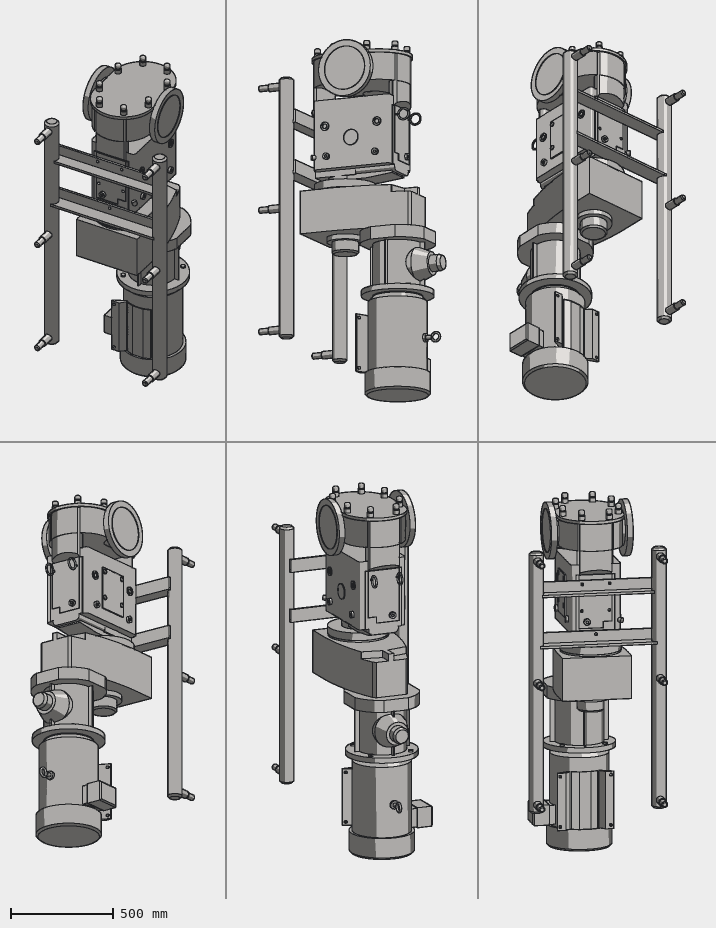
import cadquery as cq
import math


TOP_Z = 878.0
BOTTOM_Z = -878.0
DEPTH = 848.0

PUMP_Y = -12.0
SHAFT_OFFSET = 91.0
SHAFT_Y = PUMP_Y - SHAFT_OFFSET
MOTOR_Y = 180.0

RAIL_DIAMETER = 72.0
RAIL_X = 305.0
RAIL_Y = -278.0
RAIL_BOTTOM_Z = -610.0
RAIL_LENGTH = 1300.0
RAIL_CHAMFER = 10.0
STUD_MIDDLE_Z = 42.0
STUD_PITCH = 608.0
STUD_DIAMETER = 39.0
STUD_STEP_Y = -369.0
STUD_TIP_DIAMETER = 30.0
STUD_TIP_Y = -DEPTH / 2
STUD_TIP_CHAMFER = 5.0
BAR_BACK_Y = -228.0
BAR_THICKNESS = 12.0
BAR_HEIGHT = 65.0
UPPER_BAR_Z = 465.0
UPPER_BAR_DEPTH = 74.0
LOWER_BAR_Z = 213.0
LOWER_BAR_DEPTH = 83.0
BOLT_HOLE_DIAMETER = 13.5

MOUNT_X = 69.0
MOUNT_UPPER_Z = 511.0
MOUNT_LOWER_Z = 376.0
MOUNT_HOLE_DEPTH = 18.0
BASE_BOLT_Z = 260.0

COVER_TOP_Z = 829.0
COVER_THICKNESS = 15.0
HEAD_BOTTOM_Z = 678.0
COVER_RADIUS = 163.0
HEAD_RADIUS = 156.0
GROOVE_INNER_X = 79.0
GROOVE_FLOOR_Y = 204.0
COVER_BOLTS = [(69.0, 209.0), (139.0, 90.0)]
NUT_DIAMETER = 32.0
NUT_TOP_Z = 850.0
CAP_DIAMETER = 30.0
CAP_BOTTOM_Z = 855.0
CAP_ROUNDING = 9.0
BOLT_DIAMETER = 23.0

FLANGE_DIAMETER = 280.0
FLANGE_THICKNESS = 30.0
FLANGE_FACE_X = 204.0
FLANGE_Z = TOP_Z - FLANGE_DIAMETER / 2
FLANGE_RECESS_DIAMETER = 216.0
FLANGE_RECESS_DEPTH = 4.0
NECK_RADIUS = 90.0
NECK_END_RADIUS = 63.0
NECK_END_X = 88.0
NECK_BULGE = (128.0, 83.0)

CASE_LEFT_X = -121.0
CASE_RIGHT_X = 128.0
CASE_HALF_DEPTH = 205.0
CASE_TOP_Z = 605.0
CASE_BOTTOM_Z = 260.0
CASE_CORNER = 18.0
CASE_STEP_HALF_WIDTH = 97.0
CASE_STEP_HALF_DEPTH = 213.0
BASE_HALF_WIDTH = 79.0
BASE_BOTTOM_Z = 230.0
BASE_ROUNDING = 21.0
BASE_PAD_TOP_Z = 278.0
BEARING_COVER_HALF_WIDTH = 70.0
BEARING_COVER_BOTTOM_Z = 209.0
BEARING_COVER_TAPER_Y = 47.0
BEARING_COVER_BACK_Y = 181.0
BEARING_COVER_BACK_Z = 223.0
COLUMN_RADIUS = 155.0
COLUMN_HALF_WIDTH = 90.0
COLUMN_INNER_Y = 180.0
COLUMN_INNER_ROUNDING = 23.0
COLUMN_SLOPE_TOP_Z = 583.0
COLUMN_BOTTOM_Z = 555.0
PAD_HALF_WIDTH = 83.0
PAD_BOTTOM_Z = 288.0
PAD_NOTCH_X = 39.0
PAD_NOTCH_Z = 320.0
SIDE_COVER_WIDTH = 165.0
SIDE_COVER_HEIGHT = 213.0
SIDE_COVER_Z = 425.0
SIDE_COVER_THICKNESS = 7.0
SIDE_SCREW_Y = 69.0
SIDE_SCREW_DIAMETER = 23.0
SIDE_SCREW_HEIGHT = 4.0
UPPER_PLUG_Y = 140.0
UPPER_PLUG_Z = 473.0
UPPER_PLUG_DIAMETER = 42.0
UPPER_PLUG_HEIGHT = 5.0
UPPER_PLUG_SOCKET = 23.0
LOWER_PLUG_Y = 132.0
LOWER_PLUG_Z = 321.0
LOWER_PLUG_DIAMETER = 32.0
LOWER_PLUG_HEIGHT = 12.0
LOWER_PLUG_SOCKET = 12.6
SOCKET_DEPTH = 4.0
FACE_PLUG_X = -44.0
CORNER_PLUG_DIAMETER = 25.0
CORNER_PLUG_LENGTH = 39.0
CORNER_PLUG_OUTREACH = 7.0
SIGHT_GLASS_DIAMETER = 77.0
SIGHT_GLASS_Z = 405.0
SIGHT_GLASS_HEIGHT = 5.0
PUMP_NECK_DIAMETER = 163.0

REDUCER_TOP_Z = 198.0
COLLAR_DIAMETER = 302.0
COLLAR_STEP_DIAMETER = 299.0
COLLAR_STEP_Z = 160.0
BLOCK_HALF_WIDTH = 172.0
BLOCK_FRONT_Y = -267.0
BLOCK_BACK_Y = 292.0
BLOCK_BACK_HALF_WIDTH = 79.0
BLOCK_TOP_Z = 151.0
BLOCK_BOTTOM_Z = -63.0
BLOCK_SIDE_MIDDLE = (142.0, 123.0)
BLOCK_BACK_CORNER = (93.0, 280.0)
RIDGE_HALF_WIDTH = 14.0
NOTCH_INNER_Y = 221.0
NOTCH_OUTER_X = 120.0
NOTCH_OUTER_Y = 200.0
NOTCH_FLOOR_Z = 116.0
END_CAP_FLANGE_DIAMETER = 180.0
END_CAP_FLANGE_Z = -88.0
END_CAP_DIAMETER = 132.0
END_CAP_Z = -145.0
END_CAP_CHAMFER = 9.0
LANTERN_FLANGE_DIAMETER = 370.0
LANTERN_FLANGE_WIDTH = 346.0
LANTERN_FLANGE_Z = -125.0
LANTERN_DIAMETER = 245.0
LANTERN_BOTTOM_Z = -357.0
RIB_SPAN = 292.0
RIB_THICKNESS = 7.0
MOTOR_FLANGE_DIAMETER = 357.0
MOTOR_FLANGE_BOTTOM_Z = -383.0
FLANGE_BOLT_DIAMETER = 23.0
FLANGE_BOLT_RADIUS = 151.0
FLANGE_BOLT_HEIGHT = 7.0
SIDE_SHAFT_Z = -235.0
SIDE_SHAFT_DIAMETER = 83.0
SIDE_SHAFT_END_Y = DEPTH / 2
SIDE_SHAFT_CHAMFER_LENGTH = 18.0
SIDE_SHAFT_CHAMFER_DEPTH = 7.0
SIDE_CONE_BASE_Y = 292.0
SIDE_CONE_BASE_RADIUS = 88.0
SIDE_CONE_TIP_Y = 365.0
SIDE_CONE_TIP_RADIUS = 58.0

MOTOR_DIAMETER = 292.0
MOTOR_NECK_DIAMETER = 246.0
MOTOR_CONE_TOP_Z = -388.0
MOTOR_CONE_BOTTOM_Z = -413.0
FAN_COVER_DIAMETER = 321.0
FAN_COVER_TOP_Z = -770.0
FAN_COVER_CHAMFER = 10.0
FOOT_TOP_Z = -483.0
FOOT_FRONT_Y = 18.0
FOOT_OUTER_X = 140.0
FOOT_INNER_X = 98.0
FOOT_ROOT_X = 72.0
FOOT_ROOT_FRONT_Y = 45.0
FOOT_ROOT_BACK_Y = 58.0
FOOT_EDGE = 7.0
FOOT_HOLE_X = 126.0
FOOT_HOLE_MARGIN = 18.0
PANEL_FRONT_Y = 30.0
PANEL_HALF_WIDTH = 30.0
PANEL_ROOT_X = 65.0
PANEL_ROOT_Y = 42.0
TERMINAL_BOX_X = -245.0
TERMINAL_LID_DEPTH = 83.0
TERMINAL_WIDTH = 132.0
TERMINAL_TOP_Z = -659.0
TERMINAL_HEIGHT = 102.0
TERMINAL_STEP = 4.0
TERMINAL_CHAMFER = 7.0
MOTOR_EYE_Y = 385.0
MOTOR_EYE_Z = -605.0
MOTOR_EYE_DIAMETER = 42.0
MOTOR_EYE_WIRE = 10.7
MOTOR_EYE_STEM_DIAMETER = 21.0
MOTOR_EYE_COLLAR_DIAMETER = 42.0
MOTOR_EYE_COLLAR_HEIGHT = 10.0

PUMP_EYE_Y = 242.0
PUMP_EYE_DIAMETER = 55.0
PUMP_EYE_WIRE = 7.7

EMBED = 9.0


def block(x_min, x_max, y_min, y_max, z_min, z_max):
    size = (x_max - x_min, y_max - y_min, z_max - z_min)
    return cq.Workplane("XY").box(*size, centered=False).translate((x_min, y_min, z_min))


def vertical_cylinder(x, y, diameter, z_min, z_max):
    return cq.Workplane("XY", origin=(x, y, z_min)).circle(diameter / 2).extrude(z_max - z_min)


def cylinder_along_x(x_min, x_max, y, z, diameter):
    return cq.Workplane("YZ", origin=(x_min, y, z)).circle(diameter / 2).extrude(x_max - x_min)


def cylinder_along_y(x, y_min, y_max, z, diameter):
    return cq.Workplane("XZ", origin=(x, y_max, z)).circle(diameter / 2).extrude(y_max - y_min)


def lifting_ring(x, y, z, ring_diameter, wire_diameter):
    """Ring that lies in a plane of constant X."""
    wire = cq.Solid.makeTorus(
        ring_diameter / 2, wire_diameter / 2, cq.Vector(x, y, z), cq.Vector(1, 0, 0)
    )
    return cq.Workplane(wire)


def both_sides(shape):
    """The shape together with its mirror image across X = 0."""
    return shape.union(shape.mirror("YZ"))


def make_rail():
    top_z = RAIL_BOTTOM_Z + RAIL_LENGTH
    rail = vertical_cylinder(RAIL_X, RAIL_Y, RAIL_DIAMETER, RAIL_BOTTOM_Z, top_z)
    rail = rail.faces("<Z or >Z").chamfer(RAIL_CHAMFER)
    for step in (-1, 0, 1):
        z = STUD_MIDDLE_Z + step * STUD_PITCH
        shank = cylinder_along_y(RAIL_X, STUD_STEP_Y, RAIL_Y, z, STUD_DIAMETER)
        tip = cylinder_along_y(RAIL_X, STUD_TIP_Y, RAIL_Y, z, STUD_TIP_DIAMETER)
        tip = tip.faces("<Y").chamfer(STUD_TIP_CHAMFER)
        rail = rail.union(shank).union(tip)
    return rail


def make_bar(bottom_z, depth):
    """Angle bar with its upright leg against the pump and its flat leg at the bottom."""
    front_y = BAR_BACK_Y - depth
    upright_front_y = BAR_BACK_Y - BAR_THICKNESS
    flat_leg_top_z = bottom_z + BAR_THICKNESS
    upright = block(-RAIL_X, RAIL_X, upright_front_y, BAR_BACK_Y, bottom_z, bottom_z + BAR_HEIGHT)
    flat_leg = block(-RAIL_X, RAIL_X, front_y, BAR_BACK_Y, bottom_z, flat_leg_top_z)
    return upright.union(flat_leg)


def make_frame():
    frame = both_sides(make_rail())
    frame = frame.union(make_bar(UPPER_BAR_Z, UPPER_BAR_DEPTH))
    frame = frame.union(make_bar(LOWER_BAR_Z, LOWER_BAR_DEPTH))
    holes = [(-MOUNT_X, MOUNT_UPPER_Z), (MOUNT_X, MOUNT_UPPER_Z), (0, BASE_BOLT_Z)]
    for x, z in holes:
        front_y = BAR_BACK_Y - BAR_THICKNESS
        frame = frame.cut(cylinder_along_y(x, front_y, BAR_BACK_Y, z, BOLT_HOLE_DIAMETER))
    return frame


def head_prism(radius, z_min, z_max):
    """Upright prism whose outline wraps both pump shafts: two half circles and straight sides."""
    length = 2 * (SHAFT_OFFSET + radius)
    outline = cq.Workplane("XY", origin=(0, PUMP_Y, z_min)).slot2D(length, 2 * radius, 90)
    return outline.extrude(z_max - z_min)


def make_head():
    """Head with upright grooves that carry on the shoulders of the two columns."""
    cover_bottom_z = COVER_TOP_Z - COVER_THICKNESS
    head = head_prism(HEAD_RADIUS, HEAD_BOTTOM_Z, cover_bottom_z)
    groove = block(
        GROOVE_INNER_X, COLUMN_HALF_WIDTH,
        GROOVE_FLOOR_Y, SHAFT_OFFSET + HEAD_RADIUS,
        HEAD_BOTTOM_Z, cover_bottom_z,
    )
    grooves = both_sides(groove)
    grooves = grooves.union(grooves.mirror("XZ")).translate((0, PUMP_Y, 0))
    return head.cut(grooves).union(head_prism(COVER_RADIUS, cover_bottom_z, COVER_TOP_Z))


def make_columns():
    """Two columns that join the head to the gear case, with sloped lower ends."""
    outer_y = SHAFT_OFFSET + COLUMN_RADIUS
    profile = [
        (GROOVE_FLOOR_Y, COLUMN_BOTTOM_Z),
        (CASE_HALF_DEPTH, COLUMN_BOTTOM_Z),
        (outer_y, COLUMN_SLOPE_TOP_Z),
        (outer_y, HEAD_BOTTOM_Z),
        (GROOVE_FLOOR_Y, HEAD_BOTTOM_Z),
    ]
    envelope = (
        cq.Workplane("YZ", origin=(-GROOVE_INNER_X, 0, 0))
        .polyline(profile)
        .close()
        .extrude(2 * GROOVE_INNER_X)
    )
    shoulders = block(
        -COLUMN_HALF_WIDTH, COLUMN_HALF_WIDTH,
        COLUMN_INNER_Y, GROOVE_FLOOR_Y, COLUMN_BOTTOM_Z, HEAD_BOTTOM_Z,
    )
    shoulders = shoulders.faces("<Y").edges("|Z").fillet(COLUMN_INNER_ROUNDING)
    envelope = envelope.union(shoulders)
    envelope = envelope.union(envelope.mirror("XZ")).translate((0, PUMP_Y, 0))
    return head_prism(COLUMN_RADIUS, COLUMN_BOTTOM_Z, HEAD_BOTTOM_Z).intersect(envelope)


def make_cover_bolt(x, y):
    nut = vertical_cylinder(x, y, NUT_DIAMETER, COVER_TOP_Z, NUT_TOP_Z)
    cap = vertical_cylinder(x, y, CAP_DIAMETER, CAP_BOTTOM_Z, TOP_Z).faces(">Z").fillet(CAP_ROUNDING)
    shank = vertical_cylinder(x, y, BOLT_DIAMETER, COVER_TOP_Z - EMBED, CAP_BOTTOM_Z)
    return nut.union(shank).union(cap)


def make_pipe_flange():
    """Pipe flange on the +X side; its neck curves in under the head."""
    back_x = FLANGE_FACE_X - FLANGE_THICKNESS
    neck = (
        cq.Workplane("XY")
        .moveTo(0, 0)
        .lineTo(NECK_END_X, 0)
        .lineTo(NECK_END_X, NECK_END_RADIUS)
        .threePointArc(NECK_BULGE, (back_x, NECK_RADIUS))
        .lineTo(back_x, 0)
        .close()
        .revolve(360, (0, 0, 0), (1, 0, 0))
        .translate((0, PUMP_Y, FLANGE_Z))
    )
    disc = cylinder_along_x(back_x, FLANGE_FACE_X, PUMP_Y, FLANGE_Z, FLANGE_DIAMETER)
    recess_x = FLANGE_FACE_X - FLANGE_RECESS_DEPTH
    recess = cylinder_along_x(recess_x, FLANGE_FACE_X, PUMP_Y, FLANGE_Z, FLANGE_RECESS_DIAMETER)
    return neck.union(disc).cut(recess)


def make_gear_case():
    back_pad_y = 2 * PUMP_Y - BAR_BACK_Y
    case = block(
        CASE_LEFT_X, CASE_RIGHT_X,
        PUMP_Y - CASE_HALF_DEPTH, PUMP_Y + CASE_HALF_DEPTH,
        CASE_BOTTOM_Z, CASE_TOP_Z,
    )
    case = case.edges("|Z").fillet(CASE_CORNER)
    step = block(
        -CASE_STEP_HALF_WIDTH, CASE_STEP_HALF_WIDTH,
        PUMP_Y - CASE_STEP_HALF_DEPTH, PUMP_Y + CASE_STEP_HALF_DEPTH,
        CASE_BOTTOM_Z, COLUMN_BOTTOM_Z,
    )
    pads = block(
        -PAD_HALF_WIDTH, PAD_HALF_WIDTH, BAR_BACK_Y, back_pad_y, PAD_BOTTOM_Z, COLUMN_BOTTOM_Z
    )
    pad_notch = block(
        PAD_NOTCH_X, PAD_HALF_WIDTH, BAR_BACK_Y, back_pad_y, PAD_BOTTOM_Z, PAD_NOTCH_Z
    )
    return case.union(step).union(pads.cut(pad_notch))


def make_case_base():
    """Narrow base under the gear case, its front pad and the tapered bearing cover."""
    base = block(
        -BASE_HALF_WIDTH, BASE_HALF_WIDTH,
        PUMP_Y - CASE_STEP_HALF_DEPTH, PUMP_Y + CASE_STEP_HALF_DEPTH,
        BASE_BOTTOM_Z, CASE_BOTTOM_Z + EMBED,
    )
    base = base.faces("<Z").edges("|Y").fillet(BASE_ROUNDING)
    front_pad = block(
        -BASE_HALF_WIDTH, BASE_HALF_WIDTH, BAR_BACK_Y, PUMP_Y, BASE_BOTTOM_Z, BASE_PAD_TOP_Z
    )
    bearing_cover = (
        cq.Workplane("YZ", origin=(-BEARING_COVER_HALF_WIDTH, 0, 0))
        .moveTo(SHAFT_Y, CASE_BOTTOM_Z)
        .lineTo(SHAFT_Y, BEARING_COVER_BOTTOM_Z)
        .lineTo(BEARING_COVER_TAPER_Y, BEARING_COVER_BOTTOM_Z)
        .lineTo(BEARING_COVER_BACK_Y, BEARING_COVER_BACK_Z)
        .lineTo(BEARING_COVER_BACK_Y, CASE_BOTTOM_Z)
        .close()
        .extrude(2 * BEARING_COVER_HALF_WIDTH)
    )
    return base.union(front_pad).union(bearing_cover)


def make_plug(diameter, height, socket):
    """Round plug on the XY plane, rooted below it and with a socket in its top."""
    plug = vertical_cylinder(0, 0, diameter, -EMBED, height)
    return plug.cut(vertical_cylinder(0, 0, socket, height - SOCKET_DEPTH, height))


def make_upper_plug():
    return make_plug(UPPER_PLUG_DIAMETER, UPPER_PLUG_HEIGHT, UPPER_PLUG_SOCKET)


def make_lower_plug():
    return make_plug(LOWER_PLUG_DIAMETER, LOWER_PLUG_HEIGHT, LOWER_PLUG_SOCKET)


def make_case_plugs():
    """Two plug pairs on each side of the gear case and one plug on its front and its back."""
    plugs = []
    for case_x, turn in ((CASE_LEFT_X, -90), (CASE_RIGHT_X, 90)):
        upper = make_upper_plug().rotate((0, 0, 0), (0, 1, 0), turn)
        lower = make_lower_plug().rotate((0, 0, 0), (0, 1, 0), turn)
        for sign in (-1, 1):
            plugs.append(upper.translate((case_x, PUMP_Y + sign * UPPER_PLUG_Y, UPPER_PLUG_Z)))
            plugs.append(lower.translate((case_x, PUMP_Y + sign * LOWER_PLUG_Y, LOWER_PLUG_Z)))
    for face_y, turn in ((BAR_BACK_Y, 90), (2 * PUMP_Y - BAR_BACK_Y, -90)):
        plug = make_lower_plug().rotate((0, 0, 0), (1, 0, 0), turn)
        plugs.append(plug.translate((FACE_PLUG_X, face_y, LOWER_PLUG_Z)))
    return plugs


def make_corner_plug():
    """Plug that leaves the front +X corner of the gear case diagonally."""
    length = CORNER_PLUG_LENGTH + CORNER_PLUG_OUTREACH
    start_offset = CORNER_PLUG_LENGTH / math.sqrt(2)
    start = cq.Vector(
        CASE_RIGHT_X - start_offset, PUMP_Y - CASE_HALF_DEPTH + start_offset, LOWER_PLUG_Z
    )
    plug = cq.Solid.makeCylinder(CORNER_PLUG_DIAMETER / 2, length, start, cq.Vector(1, -1, 0))
    return cq.Workplane(plug)


def make_side_cover():
    """Screwed inspection cover on the -X side of the gear case."""
    face_x = CASE_LEFT_X - SIDE_COVER_THICKNESS
    root_x = CASE_LEFT_X + EMBED
    cover = block(
        face_x, root_x,
        PUMP_Y - SIDE_COVER_WIDTH / 2, PUMP_Y + SIDE_COVER_WIDTH / 2,
        SIDE_COVER_Z - SIDE_COVER_HEIGHT / 2, SIDE_COVER_Z + SIDE_COVER_HEIGHT / 2,
    )
    screw_x = face_x - SIDE_SCREW_HEIGHT
    for y in (PUMP_Y - SIDE_SCREW_Y, PUMP_Y + SIDE_SCREW_Y):
        for z in (MOUNT_LOWER_Z, MOUNT_UPPER_Z):
            cover = cover.union(cylinder_along_x(screw_x, root_x, y, z, SIDE_SCREW_DIAMETER))
    return cover


def make_sight_glass():
    face_x = CASE_RIGHT_X + SIGHT_GLASS_HEIGHT
    return cylinder_along_x(
        CASE_RIGHT_X - EMBED, face_x, PUMP_Y, SIGHT_GLASS_Z, SIGHT_GLASS_DIAMETER
    )


def make_pump():
    pump = make_head().union(both_sides(make_pipe_flange()))
    pump = pump.union(make_gear_case()).union(make_case_base()).union(make_columns())
    pump = pump.union(make_side_cover()).union(make_sight_glass())
    pump = pump.union(make_corner_plug())
    for plug in make_case_plugs():
        pump = pump.union(plug)
    for x_offset, y_offset in COVER_BOLTS:
        for x in (-x_offset, x_offset):
            for y in (PUMP_Y - y_offset, PUMP_Y + y_offset):
                pump = pump.union(make_cover_bolt(x, y))

    neck_top_z = CASE_BOTTOM_Z + EMBED
    pump = pump.union(vertical_cylinder(0, SHAFT_Y, PUMP_NECK_DIAMETER, REDUCER_TOP_Z, neck_top_z))

    back_y = 2 * PUMP_Y - BAR_BACK_Y
    for x in (-MOUNT_X, MOUNT_X):
        eye = lifting_ring(x, PUMP_EYE_Y, MOUNT_UPPER_Z, PUMP_EYE_DIAMETER, PUMP_EYE_WIRE)
        eye_front_y = PUMP_EYE_Y - PUMP_EYE_DIAMETER / 2
        stem = cylinder_along_y(x, back_y - EMBED, eye_front_y, MOUNT_UPPER_Z, PUMP_EYE_WIRE)
        pump = pump.union(eye).union(stem)
        for z in (MOUNT_UPPER_Z, MOUNT_LOWER_Z):
            hole = cylinder_along_y(x, BAR_BACK_Y, BAR_BACK_Y + MOUNT_HOLE_DEPTH, z, BOLT_HOLE_DIAMETER)
            pump = pump.cut(hole)
    return pump


def make_back_notch():
    """Cutter that lowers the back of the block beside its middle ridge, on the +X side."""
    footprint = (
        cq.Workplane("XY", origin=(0, 0, NOTCH_FLOOR_Z))
        .moveTo(RIDGE_HALF_WIDTH, NOTCH_INNER_Y)
        .lineTo(NOTCH_OUTER_X, NOTCH_OUTER_Y)
        .lineTo(NOTCH_OUTER_X, BLOCK_BACK_Y)
        .lineTo(RIDGE_HALF_WIDTH, BLOCK_BACK_Y)
        .close()
    )
    return footprint.extrude(BLOCK_TOP_Z - NOTCH_FLOOR_Z)


def make_reducer_block():
    middle_x, middle_y = BLOCK_SIDE_MIDDLE
    corner_x, corner_y = BLOCK_BACK_CORNER
    body = (
        cq.Workplane("XY", origin=(0, 0, BLOCK_BOTTOM_Z))
        .moveTo(-BLOCK_HALF_WIDTH, BLOCK_FRONT_Y)
        .lineTo(BLOCK_HALF_WIDTH, BLOCK_FRONT_Y)
        .lineTo(BLOCK_HALF_WIDTH, SHAFT_Y)
        .threePointArc((middle_x, middle_y), (corner_x, corner_y))
        .lineTo(BLOCK_BACK_HALF_WIDTH, BLOCK_BACK_Y)
        .lineTo(-BLOCK_BACK_HALF_WIDTH, BLOCK_BACK_Y)
        .lineTo(-corner_x, corner_y)
        .threePointArc((-middle_x, middle_y), (-BLOCK_HALF_WIDTH, SHAFT_Y))
        .close()
        .extrude(BLOCK_TOP_Z - BLOCK_BOTTOM_Z)
    )
    return body.cut(both_sides(make_back_notch()))


def make_side_shaft():
    """Conical boss with a short shaft on the back of the lantern."""
    cone = cq.Solid.makeCone(
        SIDE_CONE_BASE_RADIUS,
        SIDE_CONE_TIP_RADIUS,
        SIDE_CONE_TIP_Y - SIDE_CONE_BASE_Y,
        cq.Vector(0, SIDE_CONE_BASE_Y, SIDE_SHAFT_Z),
        cq.Vector(0, 1, 0),
    )
    root = cylinder_along_y(0, MOTOR_Y, SIDE_CONE_BASE_Y, SIDE_SHAFT_Z, 2 * SIDE_CONE_BASE_RADIUS)
    shaft = cylinder_along_y(0, MOTOR_Y, SIDE_SHAFT_END_Y, SIDE_SHAFT_Z, SIDE_SHAFT_DIAMETER)
    shaft = shaft.faces(">Y").chamfer(SIDE_SHAFT_CHAMFER_LENGTH, SIDE_SHAFT_CHAMFER_DEPTH)
    return cq.Workplane(cone).union(root).union(shaft)


def make_lantern():
    lantern = vertical_cylinder(
        0, MOTOR_Y, LANTERN_FLANGE_DIAMETER, LANTERN_FLANGE_Z, BLOCK_BOTTOM_Z
    )
    flats = (
        cq.Workplane("XY", origin=(0, MOTOR_Y, LANTERN_FLANGE_Z))
        .rect(LANTERN_FLANGE_WIDTH, LANTERN_FLANGE_WIDTH)
        .extrude(BLOCK_BOTTOM_Z - LANTERN_FLANGE_Z)
    )
    lantern = lantern.intersect(flats)
    lantern = lantern.union(
        vertical_cylinder(0, MOTOR_Y, LANTERN_DIAMETER, LANTERN_BOTTOM_Z, LANTERN_FLANGE_Z)
    )
    height = LANTERN_FLANGE_Z - LANTERN_BOTTOM_Z
    for size in ((RIB_SPAN, RIB_THICKNESS), (RIB_THICKNESS, RIB_SPAN)):
        rib = cq.Workplane("XY", origin=(0, MOTOR_Y, LANTERN_BOTTOM_Z)).rect(*size).extrude(height)
        lantern = lantern.union(rib)
    lantern = lantern.union(
        vertical_cylinder(0, MOTOR_Y, MOTOR_FLANGE_DIAMETER, MOTOR_FLANGE_BOTTOM_Z, LANTERN_BOTTOM_Z)
    )
    bolt_offset = FLANGE_BOLT_RADIUS / math.sqrt(2)
    for x in (-bolt_offset, bolt_offset):
        for y in (MOTOR_Y - bolt_offset, MOTOR_Y + bolt_offset):
            lantern = lantern.union(
                vertical_cylinder(
                    x, y, FLANGE_BOLT_DIAMETER,
                    LANTERN_BOTTOM_Z - EMBED, LANTERN_BOTTOM_Z + FLANGE_BOLT_HEIGHT,
                )
            )
    return lantern


def make_reducer():
    collar = vertical_cylinder(0, SHAFT_Y, COLLAR_DIAMETER, COLLAR_STEP_Z, REDUCER_TOP_Z)
    collar = collar.union(
        vertical_cylinder(0, SHAFT_Y, COLLAR_STEP_DIAMETER, BLOCK_TOP_Z, COLLAR_STEP_Z)
    )
    cap_flange = vertical_cylinder(
        0, SHAFT_Y, END_CAP_FLANGE_DIAMETER, END_CAP_FLANGE_Z, BLOCK_BOTTOM_Z
    )
    cap = vertical_cylinder(0, SHAFT_Y, END_CAP_DIAMETER, END_CAP_Z, BLOCK_BOTTOM_Z)
    cap = cap.faces("<Z").chamfer(END_CAP_CHAMFER)
    reducer = make_reducer_block().union(collar).union(cap_flange).union(cap)
    return reducer.union(make_lantern()).union(make_side_shaft())


def make_motor_body():
    neck_radius = MOTOR_NECK_DIAMETER / 2
    radius = MOTOR_DIAMETER / 2
    cover_radius = FAN_COVER_DIAMETER / 2
    profile = [
        (0, MOTOR_FLANGE_BOTTOM_Z),
        (neck_radius, MOTOR_FLANGE_BOTTOM_Z),
        (neck_radius, MOTOR_CONE_TOP_Z),
        (radius, MOTOR_CONE_BOTTOM_Z),
        (radius, FAN_COVER_TOP_Z),
        (cover_radius, FAN_COVER_TOP_Z),
        (cover_radius, BOTTOM_Z + FAN_COVER_CHAMFER),
        (cover_radius - FAN_COVER_CHAMFER, BOTTOM_Z),
        (0, BOTTOM_Z),
    ]
    body = cq.Workplane("XZ").polyline(profile).close().revolve(360, (0, 0, 0), (0, 1, 0))
    return body.translate((0, MOTOR_Y, 0))


def make_foot():
    """Foot on the +X side: a flat front strip whose back slopes in to the motor."""
    outline = [
        (FOOT_INNER_X, FOOT_FRONT_Y),
        (FOOT_OUTER_X, FOOT_FRONT_Y),
        (FOOT_OUTER_X, FOOT_FRONT_Y + FOOT_EDGE),
        (FOOT_ROOT_X, FOOT_ROOT_BACK_Y),
        (FOOT_ROOT_X, FOOT_ROOT_FRONT_Y),
    ]
    height = FOOT_TOP_Z - FAN_COVER_TOP_Z
    foot = cq.Workplane("XY", origin=(0, 0, FAN_COVER_TOP_Z)).polyline(outline).close().extrude(height)
    hole_heights = (FAN_COVER_TOP_Z + FOOT_HOLE_MARGIN, FOOT_TOP_Z - FOOT_HOLE_MARGIN)
    for z in hole_heights:
        foot = foot.cut(cylinder_along_y(FOOT_HOLE_X, FOOT_FRONT_Y, MOTOR_Y, z, BOLT_HOLE_DIAMETER))
    return foot


def make_front_panel():
    """Flat-faced panel between the feet, with sides that slope back to the motor."""
    outline = [
        (-PANEL_HALF_WIDTH, PANEL_FRONT_Y),
        (PANEL_HALF_WIDTH, PANEL_FRONT_Y),
        (PANEL_ROOT_X, PANEL_ROOT_Y),
        (PANEL_ROOT_X, MOTOR_Y),
        (-PANEL_ROOT_X, MOTOR_Y),
        (-PANEL_ROOT_X, PANEL_ROOT_Y),
    ]
    height = FOOT_TOP_Z - FAN_COVER_TOP_Z
    return cq.Workplane("XY", origin=(0, 0, FAN_COVER_TOP_Z)).polyline(outline).close().extrude(height)


def make_terminal_box():
    bottom_z = TERMINAL_TOP_Z - TERMINAL_HEIGHT
    lid_back_x = TERMINAL_BOX_X + TERMINAL_LID_DEPTH
    half_width = TERMINAL_WIDTH / 2
    lid = block(
        TERMINAL_BOX_X, lid_back_x, MOTOR_Y - half_width, MOTOR_Y + half_width,
        bottom_z, TERMINAL_TOP_Z,
    )
    lid = lid.faces("<X").chamfer(TERMINAL_CHAMFER)
    base = block(
        lid_back_x, 0, MOTOR_Y - half_width + TERMINAL_STEP, MOTOR_Y + half_width - TERMINAL_STEP,
        bottom_z + TERMINAL_STEP, TERMINAL_TOP_Z - TERMINAL_STEP,
    )
    return lid.union(base)


def make_motor_eye():
    ring = lifting_ring(0, MOTOR_EYE_Y, MOTOR_EYE_Z, MOTOR_EYE_DIAMETER, MOTOR_EYE_WIRE)
    ring_front_y = MOTOR_EYE_Y - MOTOR_EYE_DIAMETER / 2
    stem = cylinder_along_y(0, MOTOR_Y, ring_front_y, MOTOR_EYE_Z, MOTOR_EYE_STEM_DIAMETER)
    collar_back_y = MOTOR_Y + MOTOR_DIAMETER / 2 + MOTOR_EYE_COLLAR_HEIGHT
    collar = cylinder_along_y(0, MOTOR_Y, collar_back_y, MOTOR_EYE_Z, MOTOR_EYE_COLLAR_DIAMETER)
    return ring.union(stem).union(collar)


def make_motor():
    motor = make_motor_body().union(both_sides(make_foot())).union(make_front_panel())
    return motor.union(make_terminal_box()).union(make_motor_eye())


frame = make_frame()
pump = make_pump()
reducer = make_reducer()
motor = make_motor()

result = cq.Compound.makeCompound([frame.val(), pump.val(), reducer.val(), motor.val()])